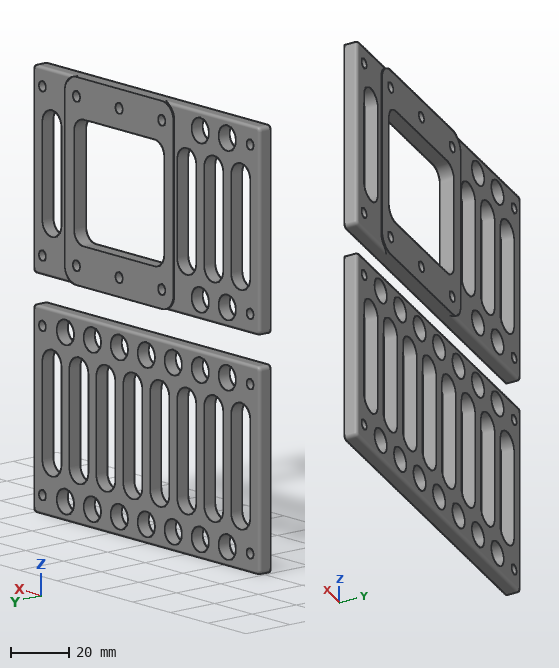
import cadquery as cq

TOTAL_HEIGHT = 159.0
PLATE_WIDTH = 120.0
PLATE_HEIGHT = 74.0
PLATE_THICKNESS = 5.1
PLATE_OFFSET = (TOTAL_HEIGHT - PLATE_HEIGHT) / 2
CORNER_RADIUS = 1.6
BACK_EDGE_RADIUS = 1.1

SLOT_COUNT = 8
SLOT_WIDTH = 10.0
SLOT_HEIGHT = 45.0
SLOT_SPAN = 100.0
SLOT_PITCH = SLOT_SPAN / (SLOT_COUNT - 1)

HOLE_ROW_OFFSET = 30.0
VENT_DIAMETER = 9.0
CORNER_HOLE_DIAMETER = 3.7
CORNER_HOLE_X = 55.0

LEFT_SLOT_COUNT = 3
RIGHT_SLOT_COUNT = 1
LEFT_VENT_COUNT = 2

WINDOW_X = 13.8
WINDOW_WIDTH = 47.7
WINDOW_HEIGHT = SLOT_HEIGHT
WINDOW_RADIUS = 5.1
PAD_WIDTH = 57.5
PAD_RADIUS = 6.0
PAD_HEIGHT = 0.5
SCREW_HOLE_DIAMETER = 3.8
SCREW_HOLE_PITCH = 22.5

PAD_THICKNESS = PLATE_THICKNESS + PAD_HEIGHT

SLOT_XS = [i * SLOT_PITCH - SLOT_SPAN / 2 for i in range(SLOT_COUNT)]
VENT_XS = [x + SLOT_PITCH / 2 for x in SLOT_XS[:-1]]
SCREW_HOLE_XS = [WINDOW_X + i * SCREW_HOLE_PITCH for i in (-1, 0, 1)]


def front_plane():
    """Sketch plane on the front face (Y = 0), with local Y along +Z."""
    return cq.Workplane("XZ")


def block(x_center, width, height, radius, thickness):
    """Rounded rectangle extruded from the front face towards +Y."""
    return (
        front_plane()
        .center(x_center, 0)
        .rect(width, height)
        .extrude(-thickness)
        .edges("|Y")
        .fillet(radius)
    )


def plate_blank():
    """Plate with rounded corners and a rounded edge around its back face."""
    plate = block(0, PLATE_WIDTH, PLATE_HEIGHT, CORNER_RADIUS, PLATE_THICKNESS)
    return plate.faces(">Y").edges().fillet(BACK_EDGE_RADIUS)


def slots(x_positions):
    """Cutters for vertical slots with round ends."""
    return (
        front_plane()
        .pushPoints([(x, 0) for x in x_positions])
        .slot2D(SLOT_HEIGHT, SLOT_WIDTH, 90)
        .extrude(-PAD_THICKNESS)
    )


def hole_rows(x_positions, diameter):
    """Cutters for one row of holes above the slots and one below."""
    centers = [(x, z) for x in x_positions for z in (-HOLE_ROW_OFFSET, HOLE_ROW_OFFSET)]
    return front_plane().pushPoints(centers).circle(diameter / 2).extrude(-PAD_THICKNESS)


def vented_plate(blank, slot_xs, vent_xs):
    """Cut the slots, vent holes and corner holes into a plate."""
    return (
        blank.cut(slots(slot_xs))
        .cut(hole_rows(vent_xs, VENT_DIAMETER))
        .cut(hole_rows([-CORNER_HOLE_X, CORNER_HOLE_X], CORNER_HOLE_DIAMETER))
    )


def make_slotted_plate():
    """Lower plate: slots and vent holes across its full width."""
    return vented_plate(plate_blank(), SLOT_XS, VENT_XS)


def make_window_plate():
    """Upper plate: a window on a raised pad takes the place of four slots."""
    pad = block(WINDOW_X, PAD_WIDTH, PLATE_HEIGHT, PAD_RADIUS, PAD_THICKNESS)
    window = block(WINDOW_X, WINDOW_WIDTH, WINDOW_HEIGHT, WINDOW_RADIUS, PAD_THICKNESS)
    slot_xs = SLOT_XS[:LEFT_SLOT_COUNT] + SLOT_XS[-RIGHT_SLOT_COUNT:]
    vent_xs = VENT_XS[:LEFT_VENT_COUNT]
    plate = vented_plate(plate_blank().union(pad), slot_xs, vent_xs)
    return plate.cut(window).cut(hole_rows(SCREW_HOLE_XS, SCREW_HOLE_DIAMETER))


slotted_plate = make_slotted_plate().translate((0, 0, -PLATE_OFFSET))
window_plate = make_window_plate().translate((0, 0, PLATE_OFFSET))

result = cq.Compound.makeCompound([slotted_plate.val(), window_plate.val()])